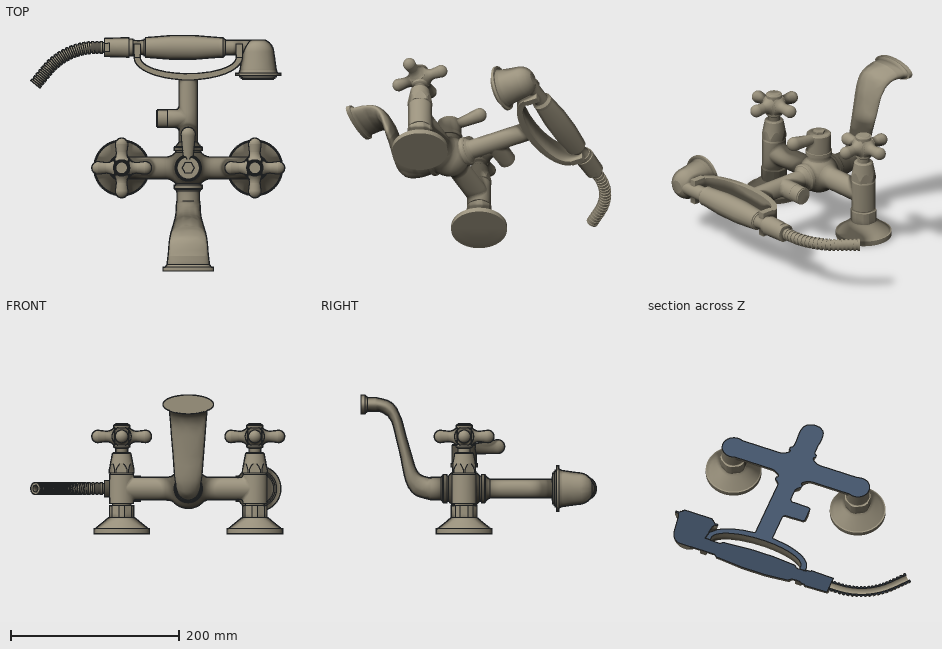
import cadquery as cq
import math


overall_length = 302.3
overall_height = 165.5
axis_height = 53.8
valve_spacing = 158.5
valve_offset = valve_spacing / 2

foot_radius = 33.3
foot_rim_height = 6
foot_cone_radius = 31.7
nut_bottom = 19.3
nut_top = 33.5
nut_across_flats = 29.3
nut_corner_diameter = 30.8
column_radius = 14.2
column_neck_radius = 11.2
column_bottom = 36.0
column_top = 70.7
bonnet_bottom = 72.5
bonnet_skirt_top = 76.2
bonnet_top = 96.5
bonnet_skirt_radius = 14.8
bonnet_top_radius = 11.2
bonnet_across_flats = 26.5
bonnet_chamfer = 1.2

stem_radius = 7.3
hub_bottom = 101.5
hub_flare = 1.8
hub_radius = 9.7
hub_top = 130
hub_cap_radius = 8.0
hub_cap_height = 1.0
hub_chamfer = 1.0
handle_arm_height = 115.8
handle_arm_reach = 35.7
handle_arm_root = 3
handle_arm_root_radius = 9
handle_arm_flare_start = 8.5
handle_arm_flare_radius = 11.5
handle_arm_flare_middle = (11.8, 8.2)
handle_arm_neck_radius = 6.3
handle_arm_neck_end = 18.5
handle_ball_radius = 7.5

bar_radius = 13.0
bar_flare_end = 28.0
body_radius = 24.0
flare_middle_along = 0.4
flare_middle_drop = 0.28
flare_inset = 0.15
body_flare_start = 16.5
column_fillet = 3
outlet_fillet = 3.5
cap_neck_radius = 13.5
cap_neck_bottom = 75.5
cap_ring_bottom = 79.2
cap_ring_radius = 15.7
cap_bottom = 83.5
cap_radius = 14.5
cap_top = 106.5
cap_chamfer = 1.2
cap_hex_diameter = 14.5
cap_hex_height = 2.7

lever_root_height = 99.8
lever_root_radius = 4.8
lever_ball_radius = 8.5
lever_ball_y = 40.0
lever_ball_height = 103.7

collar_radius = 17.0
collar_groove_radius = 15
collar_start = 20.5
collar_end = 25.7
collar_edge = 1.2
collar_flare_dip = 0.5
rear_pipe_radius = 11.2
rear_flare_end = 30.8
outlet_y = 58.5
outlet_radius = 11.0
outlet_shoulder = 24.5
outlet_thread_radius = 10.5
outlet_thread_end = 36.3
outlet_tip_radius = 9.5
outlet_reach = 37.8

spout_inlet_radius = 13.5
spout_inlet_start = 29.5
spout_bend_start = 39.5
spout_rise_angle = 75
spout_low_bend_radius = 24.8
spout_flange_half_width = 30.2
spout_flange_half_height = 11.5
spout_height = overall_height - spout_flange_half_height
spout_top_bend_end = 105.0
spout_top_bend_radius = 25.5
spout_flare_start = 115
spout_flange_start = 118
spout_end = 122.7
spout_half_widths = [spout_inlet_radius, 14.5, 15.5, 16.5, 18, 20.0, 21.5, 22.5, 23.3, 24.2]
spout_half_heights = [spout_inlet_radius, 12.7, 10.5, 8.2, 6.5, 6, 6, 7.0, 8.0, 8.5]
spout_mouth_half_width = 25.5
spout_flare_half_width = 27.2
spout_flare_half_height = 11.0

cradle_bottom_y = 104.5
cradle_ends_y = 131.2
cradle_tips_y = 147.5
cradle_half_length = 64.5
cradle_thickness = 7.5
cradle_width = 27.2
cradle_tip_width = 30.2

handset_y = 143.3
socket_start = -99.8
socket_end = -70.7
socket_start_radius = 11.0
socket_end_radius = 11.8
socket_flat_length = 6
socket_across_flats = 19.5
socket_ring_radius = 10.3
socket_ring_end = -66.0
neck_end = -52.5
neck_radius = 8.2
neck_edge_radius = 9
grip_start = -51.0
grip_end = 37.5
grip_end_radius = 11.8
grip_middle_radius = 14.5
grip_ring_end = 41.5
grip_chamfer_end = 44.5
handset_pipe_radius = 8.8
head_x = 83.0
head_top_y = 152.5
head_top_radius = 8.0
head_dome_middle = (15, 147.0)
head_dome_y = 137.8
head_dome_radius = 18.7
head_skirt_y = 116.0
head_skirt_radius = 21.8
head_lip_radius = 23.3
head_flange_y = 112.8
head_flange_radius = 27.2
head_flange_thickness = 2.7
head_face_y = 105.0
head_face_radius = 18.5
head_face_steps = 3
head_step_width = 1.8

hose_radius = 7.3
hose_core_radius = 6
hose_bore_radius = 4.0
hose_straight = 10.3
hose_bend_radius = 75.5
hose_bend_angle = 50.6
rib_count = 20


def turned(profile):
    """Solid of revolution about Z from (radius, height) points that start and end on the axis."""
    return cq.Workplane("XZ").polyline(profile).close().revolve(360, (0, 0, 0), (0, 1, 0))


def along_y(shape):
    """Turn a solid built along +Z so that it runs along +Y."""
    return shape.rotate((0, 0, 0), (1, 0, 0), -90)


def along_x(shape):
    """Turn a solid built along +Z so that it runs along +X."""
    return shape.rotate((0, 0, 0), (0, 1, 0), 90)


def to_axis_height(shape):
    return shape.translate((0, 0, axis_height))


def hexagon(across_flats, bottom, top):
    """Hexagonal prism with two corners on the X axis."""
    diameter = across_flats / math.cos(math.pi / 6)
    return cq.Workplane("XY").workplane(offset=bottom).polygon(6, diameter).extrude(top - bottom)


def valve_foot():
    """Conical foot and the hexagon nut with cut corners above it."""
    foot = turned([
        (0, 0),
        (foot_radius, 0),
        (foot_radius, foot_rim_height),
        (foot_cone_radius, foot_rim_height),
        (nut_corner_diameter / 2, nut_bottom),
        (column_neck_radius, nut_bottom),
        (column_neck_radius, column_bottom),
        (0, column_bottom),
    ])
    nut = hexagon(nut_across_flats, nut_bottom, nut_top).rotate((0, 0, 0), (0, 0, 1), 30)
    nut_limit = (
        cq.Workplane("XY").workplane(offset=nut_bottom)
        .circle(nut_corner_diameter / 2).extrude(nut_top - nut_bottom)
    )
    return foot.union(nut.intersect(nut_limit))


def valve_bonnet():
    """Tapered bonnet with six spanner flats at its base."""
    bonnet = turned([
        (0, bonnet_bottom),
        (bonnet_skirt_radius, bonnet_bottom),
        (bonnet_skirt_radius, bonnet_skirt_top),
        (bonnet_top_radius, bonnet_top - bonnet_chamfer),
        (bonnet_top_radius - bonnet_chamfer, bonnet_top),
        (0, bonnet_top),
    ])
    flats = hexagon(bonnet_across_flats, bonnet_bottom, bonnet_top)
    shoulder = turned([
        (0, column_top),
        (column_radius, column_top),
        (bonnet_across_flats / 2, bonnet_bottom),
        (0, bonnet_bottom),
    ])
    return bonnet.intersect(flats).union(shoulder)


def handle_arm():
    """One arm along +X, flared into the hub and ending in a ball."""
    ball_centre = handle_arm_reach - handle_ball_radius
    profile = (
        cq.Workplane("XY")
        .moveTo(handle_arm_root, 0)
        .lineTo(handle_arm_root, handle_arm_root_radius)
        .lineTo(handle_arm_flare_start, handle_arm_flare_radius)
        .threePointArc(handle_arm_flare_middle, (handle_arm_neck_end, handle_arm_neck_radius))
        .lineTo(ball_centre, handle_ball_radius)
        .threePointArc(
            (
                ball_centre + handle_ball_radius * math.sqrt(0.5),
                handle_ball_radius * math.sqrt(0.5),
            ),
            (handle_arm_reach, 0),
        )
        .close()
    )
    return profile.revolve(360, (0, 0, 0), (1, 0, 0))


def cross_handle():
    """Stem, hub and four arms."""
    handle = turned([
        (0, bonnet_top),
        (stem_radius, bonnet_top),
        (stem_radius, hub_bottom),
        (hub_radius, hub_bottom + hub_flare),
        (hub_radius, hub_top - hub_chamfer),
        (hub_radius - hub_chamfer, hub_top),
        (hub_cap_radius, hub_top),
        (hub_cap_radius - hub_cap_height, hub_top + hub_cap_height),
        (0, hub_top + hub_cap_height),
    ])
    for quarter in range(4):
        arm = handle_arm().rotate((0, 0, 0), (0, 0, 1), 90 * quarter)
        handle = handle.union(arm.translate((0, 0, handle_arm_height)))
    return handle


def bar_and_columns():
    """Horizontal bar between the two columns, with filleted junctions."""
    bar = to_axis_height(along_x(
        cq.Workplane("XY").circle(bar_radius).extrude(valve_spacing).translate((0, 0, -valve_offset))
    ))
    column = cq.Workplane("XY").workplane(offset=column_bottom).circle(column_radius).extrude(
        column_top - column_bottom
    )
    for side in (-1, 1):
        bar = bar.union(column.translate((side * valve_offset, 0, 0)))
        junction = cq.selectors.BoxSelector(
            (side * (valve_offset - column_radius), -column_radius, axis_height - bar_radius),
            (side * valve_offset, column_radius, axis_height + bar_radius),
        )
        bar = bar.edges(junction).fillet(column_fillet)
    return bar


def body_flare(end, end_radius):
    """Flare along +Z from the body sphere at the origin down to a pipe."""
    start_radius = math.sqrt(body_radius ** 2 - body_flare_start ** 2) - flare_inset
    middle = body_flare_start + flare_middle_along * (end - body_flare_start)
    middle_radius = end_radius + flare_middle_drop * (start_radius - end_radius)
    return (
        cq.Workplane("XZ")
        .lineTo(start_radius, body_flare_start)
        .threePointArc((middle_radius, middle), (end_radius, end))
        .lineTo(0, end)
        .close()
        .revolve(360, (0, 0, 0), (0, 1, 0))
    )


def collar(pipe_radius, flare_end):
    """Grooved collar along +Z, from the body at the origin to a pipe."""
    return turned([
        (0, 0),
        (collar_groove_radius, 0),
        (collar_groove_radius, collar_start),
        (collar_radius, collar_start),
        (collar_radius, collar_end - collar_edge),
        (collar_radius - collar_edge, collar_end),
        (collar_groove_radius, collar_end),
        ((collar_groove_radius + pipe_radius) / 2 - collar_flare_dip, (collar_end + flare_end) / 2),
        (pipe_radius, flare_end),
        (0, flare_end),
    ])


def diverter_cap():
    """Round cap with a hexagon boss on top of the body."""
    cap = turned([
        (0, cap_neck_bottom),
        (cap_neck_radius, cap_neck_bottom),
        (cap_neck_radius, cap_ring_bottom),
        (cap_ring_radius, cap_ring_bottom),
        (cap_ring_radius, cap_bottom),
        (cap_radius, cap_bottom),
        (cap_radius, cap_top - cap_chamfer),
        (cap_radius - cap_chamfer, cap_top),
        (0, cap_top),
    ])
    boss = cq.Workplane("XY").workplane(offset=cap_top).polygon(6, cap_hex_diameter).extrude(cap_hex_height)
    return cap.union(boss)


def diverter_lever():
    """Tapered lever that rises slightly toward its ball end."""
    rise = lever_ball_height - lever_root_height
    length = math.hypot(lever_ball_y, rise)
    rod = turned([
        (0, 0),
        (lever_root_radius, 0),
        (lever_ball_radius, length),
        (0, length),
    ])
    lever = rod.union(cq.Workplane("XY").sphere(lever_ball_radius).translate((0, 0, length)))
    tilt = math.degrees(math.atan2(rise, lever_ball_y))
    lever = along_y(lever).rotate((0, 0, 0), (1, 0, 0), tilt)
    return lever.translate((0, 0, lever_root_height))


def central_body():
    """Spherical body with its flares, collars, cap and lever."""
    body = cq.Workplane("XY").sphere(body_radius)
    side_flare = along_x(body_flare(bar_flare_end, bar_radius))
    for side in (0, 180):
        body = body.union(side_flare.rotate((0, 0, 0), (0, 0, 1), side))
    body = body.union(body_flare(cap_neck_bottom - axis_height, cap_neck_radius))
    body = body.union(along_y(collar(rear_pipe_radius, rear_flare_end)))
    front_collar = along_y(collar(spout_inlet_radius, spout_inlet_start))
    body = body.union(front_collar.rotate((0, 0, 0), (0, 0, 1), 180))
    return to_axis_height(body).union(diverter_cap()).union(diverter_lever())


def rear_pipe():
    """Pipe that carries the cradle, with the hose outlet on its -X side."""
    pipe_length = cradle_bottom_y + cradle_thickness / 2
    pipe = along_y(cq.Workplane("XY").circle(rear_pipe_radius).extrude(pipe_length))
    outlet = cq.Workplane("XY").circle(outlet_radius).extrude(outlet_shoulder)
    outlet = along_x(outlet).rotate((0, 0, 0), (0, 0, 1), 180).translate((0, outlet_y, 0))
    pipe = pipe.union(outlet)
    junction = cq.selectors.BoxSelector(
        (-rear_pipe_radius, outlet_y - outlet_radius, -rear_pipe_radius),
        (0, outlet_y + outlet_radius, rear_pipe_radius),
    )
    pipe = pipe.edges(junction).fillet(outlet_fillet)
    thread = turned([
        (0, outlet_shoulder),
        (outlet_thread_radius, outlet_shoulder),
        (outlet_thread_radius, outlet_thread_end),
        (outlet_tip_radius, outlet_thread_end),
        (outlet_tip_radius, outlet_reach),
        (0, outlet_reach),
    ])
    thread = along_x(thread).rotate((0, 0, 0), (0, 0, 1), 180).translate((0, outlet_y, 0))
    return to_axis_height(pipe.union(thread))


def oval(y, z, angle, half_width, half_height):
    """Elliptical spout section across a direction tilted up by angle from -Y."""
    tilt = math.radians(angle)
    return cq.Wire.makeEllipse(
        half_width,
        half_height,
        cq.Vector(0, y, z),
        cq.Vector(0, -math.cos(tilt), math.sin(tilt)),
        cq.Vector(1, 0, 0),
    )


def spout():
    """Spout that flattens and widens as it rises to its oval flange."""
    inlet = cq.Workplane("XY").circle(spout_inlet_radius).extrude(spout_bend_start)
    inlet = to_axis_height(along_y(inlet).rotate((0, 0, 0), (0, 0, 1), 180))

    def low_bend(angle):
        turn = math.radians(angle)
        y = -spout_bend_start - spout_low_bend_radius * math.sin(turn)
        return y, axis_height + spout_low_bend_radius * (1 - math.cos(turn)), angle

    def top_bend(angle):
        turn = math.radians(angle)
        y = -spout_top_bend_end + spout_top_bend_radius * math.sin(turn)
        return y, spout_height - spout_top_bend_radius * (1 - math.cos(turn)), angle

    low_end = low_bend(spout_rise_angle)
    top_start = top_bend(spout_rise_angle)

    def rise(fraction):
        y = low_end[0] + fraction * (top_start[0] - low_end[0])
        return y, low_end[1] + fraction * (top_start[1] - low_end[1]), spout_rise_angle

    stations = [
        low_bend(0),
        low_bend(spout_rise_angle / 3),
        low_bend(spout_rise_angle * 2 / 3),
        low_end,
        rise(1 / 3),
        rise(2 / 3),
        top_start,
        top_bend(spout_rise_angle * 2 / 3),
        top_bend(spout_rise_angle / 3),
        top_bend(0),
    ]
    sections = zip(stations, spout_half_widths, spout_half_heights)
    neck = cq.Solid.makeLoft([oval(*station, width, height) for station, width, height in sections])
    flare_start = oval(-spout_flare_start, spout_height, 0, spout_mouth_half_width, spout_half_heights[-1])
    mouth = cq.Solid.makeLoft([
        oval(*top_bend(0), spout_half_widths[-1], spout_half_heights[-1]),
        flare_start,
    ])
    flare = cq.Solid.makeLoft([
        flare_start,
        oval(-spout_flange_start, spout_height, 0, spout_flare_half_width, spout_flare_half_height),
    ])
    flange = (
        cq.Workplane("XZ", origin=(0, -spout_flange_start, spout_height))
        .ellipse(spout_flange_half_width, spout_flange_half_height)
        .extrude(spout_end - spout_flange_start)
    )
    whole = inlet
    for piece in (neck, mouth, flare, flange):
        whole = whole.union(piece)
    return whole


def half_oval(half_length, depth):
    """Prism on the -Y half of an ellipse centred between the ends of the bow."""
    back = cq.Workplane("XY").box(2 * half_length, depth, cradle_width, centered=(True, False, True))
    oval_prism = cq.Workplane("XY").ellipse(half_length, depth).extrude(cradle_width)
    return oval_prism.translate((0, 0, -cradle_width / 2)).cut(back)


def cradle():
    """Bow with two upright tips that hold the handset."""
    depth = cradle_ends_y - cradle_bottom_y
    bow = half_oval(cradle_half_length, depth)
    bow = bow.cut(half_oval(cradle_half_length - cradle_thickness, depth - cradle_thickness))
    tip = cq.Workplane("XY").box(
        cradle_thickness, cradle_tips_y - cradle_ends_y, cradle_tip_width, centered=(True, False, True)
    )
    for side in (-1, 1):
        bow = bow.union(tip.translate((side * (cradle_half_length - cradle_thickness / 2), 0, 0)))
    return to_axis_height(bow.translate((0, cradle_ends_y, 0)))


def shower_head():
    """Bell-shaped head that faces -Y, with a stepped face."""
    profile = (
        cq.Workplane("XY")
        .moveTo(0, head_top_y)
        .lineTo(head_top_radius, head_top_y)
        .threePointArc(head_dome_middle, (head_dome_radius, head_dome_y))
        .lineTo(head_skirt_radius, head_skirt_y)
        .lineTo(head_lip_radius, head_flange_y)
        .lineTo(head_flange_radius, head_flange_y)
    )
    step_y = head_flange_y - head_flange_thickness
    step_height = (step_y - head_face_y) / head_face_steps
    profile = profile.lineTo(head_flange_radius, step_y)
    for step in reversed(range(head_face_steps)):
        radius = head_face_radius + step * head_step_width
        profile = profile.lineTo(radius, step_y)
        step_y -= step_height
        profile = profile.lineTo(radius, step_y)
    head = profile.lineTo(0, head_face_y).close().revolve(360, (0, 0, 0), (0, 1, 0))
    return head.translate((head_x, 0, axis_height))


def handset_handle():
    """Hose socket, waisted neck, bulged grip and pipe to the head."""
    handle = (
        cq.Workplane("XY")
        .moveTo(socket_start, 0)
        .lineTo(socket_start, socket_start_radius)
        .lineTo(socket_end, socket_end_radius)
        .lineTo(socket_end, socket_ring_radius)
        .lineTo(socket_ring_end, socket_ring_radius)
        .lineTo(socket_ring_end, neck_edge_radius)
        .threePointArc(((socket_ring_end + neck_end) / 2, neck_radius), (neck_end, neck_edge_radius))
        .lineTo(neck_end, socket_ring_radius)
        .lineTo(grip_start, socket_ring_radius)
        .lineTo(grip_start, grip_end_radius)
        .threePointArc(((grip_start + grip_end) / 2, grip_middle_radius), (grip_end, grip_end_radius))
        .lineTo(grip_ring_end, grip_end_radius)
        .lineTo(grip_chamfer_end, handset_pipe_radius)
        .lineTo(head_x, handset_pipe_radius)
        .lineTo(head_x, 0)
        .close()
        .revolve(360, (0, 0, 0), (1, 0, 0))
    )
    for side in (-1, 1):
        flat = cq.Workplane("XY").box(
            2 * socket_flat_length, 2 * socket_start_radius, socket_start_radius
        )
        flat_height = side * (socket_across_flats + socket_start_radius) / 2
        handle = handle.cut(flat.translate((socket_start, 0, flat_height)))
    return handle.translate((0, handset_y, axis_height))


def hose_path():
    """Plane path from the socket, and its total length."""
    bend = math.radians(hose_bend_angle)
    bend_start = socket_start - hose_straight
    bend_end = (
        bend_start - hose_bend_radius * math.sin(bend),
        handset_y - hose_bend_radius * (1 - math.cos(bend)),
    )
    bend_middle = (
        bend_start - hose_bend_radius * math.sin(bend / 2),
        handset_y - hose_bend_radius * (1 - math.cos(bend / 2)),
    )
    left_limit = valve_offset + handle_arm_reach - overall_length
    tail = (bend_end[0] - left_limit - hose_radius * math.sin(bend)) / math.cos(bend)
    path = (
        cq.Workplane("XY", origin=(0, 0, axis_height))
        .moveTo(socket_start, handset_y)
        .lineTo(bend_start, handset_y)
        .threePointArc(bend_middle, bend_end)
        .line(-tail * math.cos(bend), -tail * math.sin(bend))
    )
    return path, hose_straight + hose_bend_radius * bend + tail


def hose_sweep(radius):
    path, _ = hose_path()
    start = cq.Workplane("YZ", origin=(socket_start, handset_y, axis_height))
    return start.circle(radius).sweep(path)


def hose_rib(distance, thickness):
    """Ring around the hose whose outer end face lies at this distance along the path."""
    disc = along_x(cq.Workplane("XY").circle(hose_radius).extrude(thickness))
    bend = math.radians(hose_bend_angle)
    turn = min(max((distance - hose_straight) / hose_bend_radius, 0), bend)
    straight_before = min(distance, hose_straight)
    straight_after = max(distance - hose_straight - hose_bend_radius * bend, 0)
    x = socket_start - straight_before - hose_bend_radius * math.sin(turn) - straight_after * math.cos(turn)
    y = handset_y - hose_bend_radius * (1 - math.cos(turn)) - straight_after * math.sin(turn)
    return disc.rotate((0, 0, 0), (0, 0, 1), math.degrees(turn)).translate((x, y, axis_height))


def make_mixer(handset):
    """Mixer with both valves, spout and cradle, recessed where the handset rests in it."""
    mixer = bar_and_columns().union(central_body()).union(rear_pipe()).union(spout()).union(cradle())
    for side in (-1, 1):
        for piece in (valve_foot(), valve_bonnet(), cross_handle()):
            mixer = mixer.union(piece.translate((side * valve_offset, 0, 0)))
    return mixer.cut(handset)


def make_handset():
    return handset_handle().union(shower_head())


def make_hose():
    """Ribbed tube with an open bore."""
    hose = hose_sweep(hose_core_radius)
    _, length = hose_path()
    rib_pitch = length / rib_count
    for index in range(1, rib_count + 1):
        hose = hose.union(hose_rib(index * rib_pitch, rib_pitch / 2))
    return hose.cut(hose_sweep(hose_bore_radius))


handset = make_handset()
mixer = make_mixer(handset)
hose = make_hose()

result = cq.Compound.makeCompound([mixer.solids().val(), handset.solids().val(), hose.solids().val()])